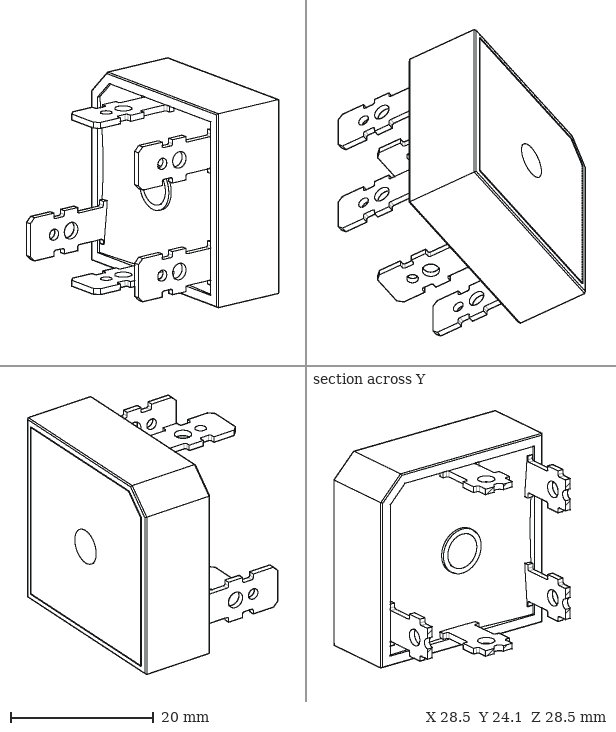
import cadquery as cq
import math


housing_side = 28.5
housing_depth = 11.2
corner_cut = 3.5
bevel_inset = 0.17
bevel_length = 0.23

plate_inset = 1.0
plate_proud = 0.1

wall = 1.5
boss_radius = 3.33
hole_radius = 2.56
boss_height = 0.43
dish_low_radius = 7.4
dish_low_depth = 1.55
dish_wall_depth = 0.97
dish_rim_depth = 0.35
dish_rim_margin = 0.28

blade_width = 6.35
neck_width = 4.67
blade_thickness = 0.88
blade_reach = 12.8
blade_root_depth = 2.85
blade_tip_chamfer = 0.75
foot_depth = 0.25
neck_end = 4.3
notch_start = 6.73
notch_end = 8.55
notch_radius = 0.28
large_hole_offset = 5.5
large_hole_diameter = 2.4
small_hole_diameter = 1.6
wall_gap = 0.09
side_blade_offset = 8.2

cavity_side = housing_side - 2 * wall
blade_outer_face = cavity_side / 2 - wall_gap


def square_prism(inset, y_start, y_end, taper=0):
    """Block from y_start to y_end with the -X +Z corner cut off, inset evenly from the housing outline."""
    half = housing_side / 2 - inset
    cut = corner_cut - inset * (2 - math.sqrt(2))
    outline = (
        cq.Workplane("XZ", origin=(0, y_start, 0))
        .moveTo(-half, -half)
        .lineTo(half, -half)
        .lineTo(half, half)
        .lineTo(cut - half, half)
        .lineTo(-half, half - cut)
        .close()
    )
    return outline.extrude(y_start - y_end, taper=taper)


def make_housing():
    bevel_taper = math.degrees(math.atan2(bevel_inset, bevel_length))
    front_start = bevel_length
    back_start = housing_depth - bevel_length
    middle = square_prism(0, front_start, back_start)
    front = square_prism(0, front_start, 0, bevel_taper)
    back = square_prism(0, back_start, housing_depth, bevel_taper)
    plate = square_prism(plate_inset, back_start, housing_depth + plate_proud)
    return middle.union(front).union(back).union(plate)


def make_dish():
    """Hollow between the front face and the filling, which sags between boss and walls."""
    rim_radius = cavity_side / math.sqrt(2) + dish_rim_margin
    ring = (
        cq.Workplane("XY")
        .moveTo(boss_radius, 0)
        .lineTo(boss_radius, boss_height)
        .spline(
            [
                (dish_low_radius, dish_low_depth),
                (cavity_side / 2, dish_wall_depth),
                (rim_radius, dish_rim_depth),
            ],
            includeCurrent=True,
        )
        .lineTo(rim_radius, 0)
        .close()
        .revolve(360, (0, 0, 0), (0, 1, 0))
    )
    return ring.intersect(square_prism(wall, 0, housing_depth))


def make_blade():
    """Terminal lying flat against the inside of the +Z wall, centred on X."""
    length = blade_reach + blade_root_depth
    blade = (
        cq.Workplane("XY", origin=(0, 0, blade_outer_face - blade_thickness))
        .center(0, blade_root_depth - length / 2)
        .rect(blade_width, length)
        .extrude(blade_thickness)
        .edges("|Z and <Y")
        .chamfer(blade_tip_chamfer)
    )
    for y_start, y_end in ((foot_depth, -neck_end), (-notch_start, -notch_end)):
        notches = (
            cq.Workplane("XY")
            .pushPoints([(side * blade_width / 2, (y_start + y_end) / 2) for side in (-1, 1)])
            .rect(blade_width - neck_width, y_start - y_end)
            .extrude(housing_side)
            .edges("|Z")
            .fillet(notch_radius)
        )
        blade = blade.cut(notches)
    for offset, diameter in ((large_hole_offset, large_hole_diameter), (notch_end, small_hole_diameter)):
        hole = cq.Workplane("XY").center(0, -offset).circle(diameter / 2).extrude(housing_side)
        blade = blade.cut(hole)
    return blade


def place_blade(turn, slide):
    """Turn the +Z terminal about Y to another wall, then slide it along Z."""
    return make_blade().rotate((0, 0, 0), (0, 1, 0), turn).translate((0, 0, slide))


result = make_housing().cut(make_dish())

result = result.cut(
    cq.Workplane("XZ").circle(hole_radius).extrude(housing_depth + plate_proud, both=True)
)

blade_places = (
    (0, 0),
    (180, 0),
    (90, side_blade_offset),
    (90, -side_blade_offset),
    (-90, -side_blade_offset),
)
for blade_turn, blade_slide in blade_places:
    result = result.union(place_blade(blade_turn, blade_slide))